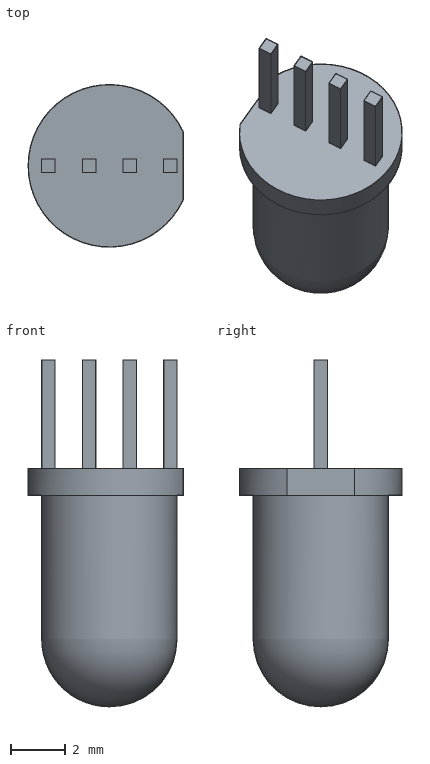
import cadquery as cq


body_radius = 2.5
body_length = 5.3

flange_radius = 3.0
flange_height = 1.0
flat_offset = 2.73

lead_count = 4
lead_width = 0.5
lead_length = 4.0
lead_pitch = 1.5


def make_lens():
    """Cylinder closed at the bottom by a hemisphere, revolved from a half profile."""
    dome_diagonal = body_radius * 0.5 ** 0.5
    profile = (
        cq.Workplane("XZ")
        .lineTo(-body_radius, 0)
        .lineTo(-body_radius, -body_length)
        .threePointArc(
            (-dome_diagonal, -body_length - dome_diagonal),
            (0, -body_length - body_radius),
        )
        .close()
    )
    return profile.revolve(360, (0, 0, 0), (0, 1, 0))


def make_flange():
    """Disc with one flat that marks the orientation of the part."""
    disc = cq.Workplane("XY").circle(flange_radius).extrude(flange_height)
    beyond_flat = (
        cq.Workplane("XY")
        .box(flange_radius, 2 * flange_radius, flange_height, centered=(False, True, False))
        .translate((flat_offset, 0, 0))
    )
    return disc.cut(beyond_flat)


def make_leads():
    """Row of square leads along X, centred on the axis and standing on the flange."""
    return (
        cq.Workplane("XY")
        .workplane(offset=flange_height)
        .rarray(lead_pitch, 1, lead_count, 1)
        .rect(lead_width, lead_width)
        .extrude(lead_length)
    )


result = make_lens().union(make_flange()).union(make_leads())